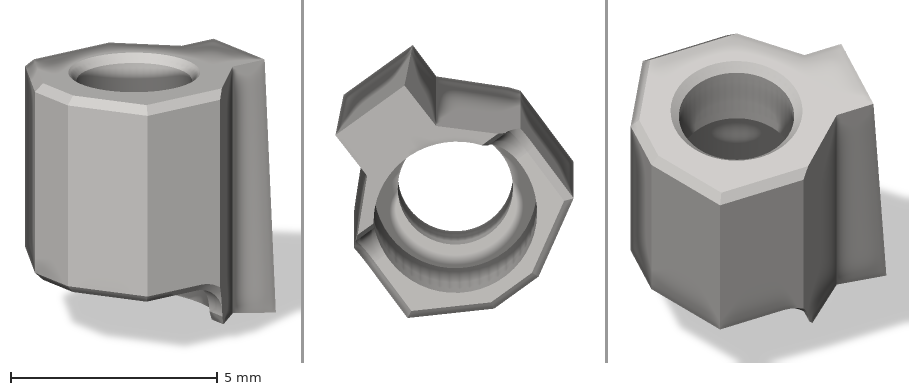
import cadquery as cq
import math

HEIGHT = 6.5
BODY_RADIUS = 2.499
BACK_LENGTH = 6.0 - BODY_RADIUS

TAB_HALF_WIDTH = 1.04
SIDE_BACK_Y = 0.74
SHOULDER_Y = SIDE_BACK_Y + BODY_RADIUS - TAB_HALF_WIDTH
FRONT_HALF_WIDTH = BODY_RADIUS * math.tan(math.radians(15))
SIDE_FRONT_Y = -BODY_RADIUS * math.tan(math.radians(30))

BACK_LEAN = 0.34
BOTTOM_SLOPE = math.tan(math.radians(10))
UNDERCUT_Z = 1.5
UNDERCUT_FILLET = 0.825
SKIRT_FRONT_Y = 0.995
LIP_CHAMFER_Y = 0.135
EDGE_CHAMFER = 0.2

BORE_RADIUS = 1.4
BORE_CHAMFER = 0.2
COUNTERBORE_RADIUS = 1.98
COUNTERBORE_TOP_Z = 4.615


def make_plan():
    """Extrude the faceted plan with its rectangular back tab."""
    right_side = [
        (FRONT_HALF_WIDTH, -BODY_RADIUS),
        (BODY_RADIUS, SIDE_FRONT_Y),
        (BODY_RADIUS, SIDE_BACK_Y),
        (TAB_HALF_WIDTH, SHOULDER_Y),
        (TAB_HALF_WIDTH, BACK_LENGTH),
    ]
    left_side = [(-x, y) for x, y in reversed(right_side)]
    return cq.Workplane("XY").polyline(right_side + left_side).close().extrude(HEIGHT)


def make_side_profile():
    """Extrude the YZ outline: leaning back, sloping bottom and filleted undercut."""
    lip_y = SKIRT_FRONT_Y + LIP_CHAMFER_Y
    lip_z = (BACK_LENGTH - lip_y) * BOTTOM_SLOPE
    fillet_mid = UNDERCUT_FILLET * math.sqrt(0.5)
    center_y = SKIRT_FRONT_Y - UNDERCUT_FILLET
    center_z = UNDERCUT_Z - UNDERCUT_FILLET
    return (
        cq.Workplane("YZ")
        .moveTo(BACK_LENGTH - BACK_LEAN, HEIGHT)
        .lineTo(BACK_LENGTH, 0)
        .lineTo(lip_y, lip_z)
        .lineTo(SKIRT_FRONT_Y, center_z)
        .threePointArc((center_y + fillet_mid, center_z + fillet_mid), (center_y, UNDERCUT_Z))
        .lineTo(-BODY_RADIUS, UNDERCUT_Z)
        .lineTo(-BODY_RADIUS, HEIGHT)
        .close()
        .extrude(BODY_RADIUS, both=True)
    )


def chamfer_facets(body):
    """Chamfer the top and undercut edges of the three front facets and two side flats."""
    tolerance = 0.0005

    def on_facet(edge):
        center = edge.Center()
        on_side = abs(abs(center.x) - BODY_RADIUS) < tolerance
        in_front = center.y < SIDE_FRONT_Y
        vertical = edge.BoundingBox().zlen > UNDERCUT_FILLET
        return (on_side or in_front) and not vertical

    edges = [edge for edge in body.edges().vals() if on_facet(edge)]
    return body.newObject(edges).chamfer(EDGE_CHAMFER)


def cut_bore(body):
    """Cut the chamfered bore and the wider counterbore below it in one revolve."""
    bore = (
        cq.Workplane("XZ")
        .polyline([
            (0, 0),
            (COUNTERBORE_RADIUS, 0),
            (COUNTERBORE_RADIUS, COUNTERBORE_TOP_Z),
            (BORE_RADIUS, COUNTERBORE_TOP_Z),
            (BORE_RADIUS, HEIGHT - BORE_CHAMFER),
            (BORE_RADIUS + BORE_CHAMFER, HEIGHT),
            (0, HEIGHT),
        ])
        .close()
        .revolve(360, (0, 0, 0), (0, 1, 0))
    )
    return body.cut(bore)


blank = make_plan().intersect(make_side_profile())
result = cut_bore(chamfer_facets(blank))